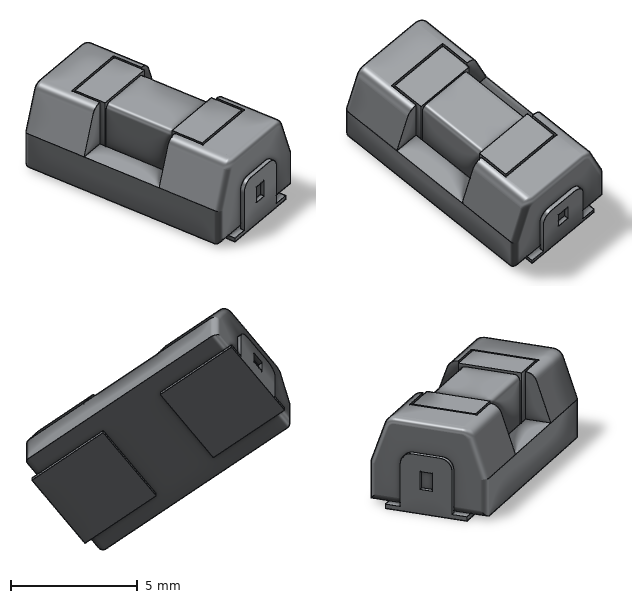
import cadquery as cq

length = 9.83
width = 5.03
height = 3.81
metal = 0.19

housing_length = length - 2 * metal
shoulder_z = 1.8
roof_width = 3.59
roof_radius = 0.51
end_radius = 0.26

cavity_length = 6.31
cavity_width = 2.87
opening_length = 3.61

fuse_length = 6.13
cap_width = 2.69
cap_spacing = 3.22
barrel_width = 2.55
barrel_top = 3.71
barrel_radius = 0.25
fuse_bottom = height - cap_width
fuse_center_z = height - cap_width / 2

pad_length = 3.51
pad_width = 3.49
tab_width = 2.21
tab_top = 2.5
tab_radius = 0.49
window_width = 0.53
window_bottom = 1.04
window_top = 1.8


def block(size_x, size_y, bottom, top, center_x=0):
    """Box centred on Y = 0 between two heights."""
    return (
        cq.Workplane("XY", origin=(center_x, 0, bottom))
        .box(size_x, size_y, top - bottom, centered=(True, True, False))
    )


def make_housing():
    """Rounded housing with an open-topped cavity and an opening in each side."""
    outline = [
        (-width / 2, metal),
        (width / 2, metal),
        (width / 2, shoulder_z),
        (roof_width / 2, height),
        (-roof_width / 2, height),
        (-width / 2, shoulder_z),
    ]
    body = (
        cq.Workplane("YZ", origin=(-housing_length / 2, 0, 0))
        .polyline(outline)
        .close()
        .extrude(housing_length)
    )
    body = body.edges("|X and >Z").fillet(roof_radius)
    body = body.faces("<X or >X").edges().fillet(end_radius)
    cavity = block(cavity_length, cavity_width, fuse_bottom, height)
    opening = block(opening_length, width, shoulder_z, height)
    return body.cut(cavity).cut(opening)


def make_fuse():
    """Fuse barrel with square end caps, standing on the cavity floor."""
    barrel_bottom = 2 * fuse_center_z - barrel_top
    barrel = block(cap_spacing, barrel_width, barrel_bottom, barrel_top)
    fuse = barrel.edges("|X").fillet(barrel_radius)
    cap_length = (fuse_length - cap_spacing) / 2
    cap_center = (fuse_length - cap_length) / 2
    for side in (-1, 1):
        fuse = fuse.union(block(cap_length, cap_width, fuse_bottom, height, side * cap_center))
    return fuse


def make_terminal(side):
    """Solder pad under the housing with a windowed tab up the end face."""
    pad = block(pad_length, pad_width, 0, metal, side * (length - pad_length) / 2)
    tab_x = side * (length - metal) / 2
    tab = block(metal, tab_width, 0, tab_top, tab_x).edges("|X and >Z").fillet(tab_radius)
    window = block(metal, window_width, window_bottom, window_top, tab_x)
    return pad.union(tab.cut(window))


result = make_housing().union(make_fuse())
for end in (-1, 1):
    result = result.union(make_terminal(end))